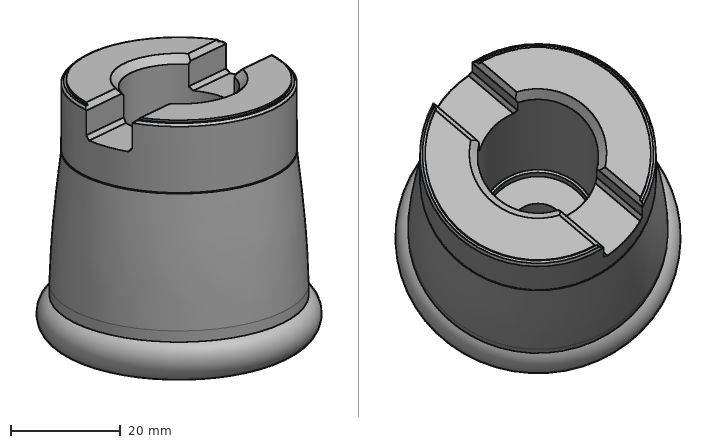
import cadquery as cq

total_height = 50.0
bead_height = 7.8
skirt_top = 10.05
seam_height = 36.0

outer_diameter = 52.0
skirt_diameter = 47.3
flank_bulge = 0.3
bead_radius = 4.0
bead_center_radius = outer_diameter / 2 - bead_radius
through_hole_diameter = 10.5
recess_diameter = 20.9
recess_floor = bead_height
bore_floor = skirt_top

collar_diameter = 43.0
bore_diameter = 22.0
spigot_diameter = 31.2
bore_chamfer = 1.5
rim_chamfer = 0.45
raised_face_diameter = 41.1
raised_face_height = 0.4
seam_chamfer = 0.2

slot_width = 10.5
slot_depth = 6.6
slot_edge_chamfer = 1.0
slot_root_chamfer = 0.8


def cylinder(diameter, bottom, top):
    """Cylinder on the Z axis between two heights."""
    return cq.Workplane("XY").workplane(offset=bottom).circle(diameter / 2).extrude(top - bottom)


def make_sleeve():
    """Flared sleeve with a rounded bead at its base and a stepped socket for the collar."""
    skirt_radius = skirt_diameter / 2
    collar_radius = collar_diameter / 2
    flank_middle = ((skirt_radius + collar_radius) / 2 + flank_bulge, (skirt_top + seam_height) / 2)
    body = (
        cq.Workplane("XZ")
        .lineTo(bead_center_radius, 0)
        .threePointArc((outer_diameter / 2, bead_radius), (skirt_radius, bead_height))
        .lineTo(skirt_radius, skirt_top)
        .threePointArc(flank_middle, (collar_radius, seam_height))
        .lineTo(0, seam_height)
        .close()
        .revolve(360, (0, 0, 0), (0, 1, 0))
    )
    socket = cylinder(spigot_diameter, bore_floor, seam_height)
    recess = cylinder(recess_diameter, recess_floor, seam_height)
    through_hole = cylinder(through_hole_diameter, 0, seam_height)
    return body.cut(socket).cut(recess).cut(through_hole)


def make_slot_cutter():
    """Slot profile with bevelled root corners and bevelled top edges."""
    half_width = slot_width / 2
    floor = total_height - slot_depth
    half_profile = [
        (half_width - slot_root_chamfer, floor),
        (half_width, floor + slot_root_chamfer),
        (half_width, total_height - slot_edge_chamfer),
        (half_width + slot_edge_chamfer, total_height),
    ]
    mirrored_profile = [(-x, z) for x, z in reversed(half_profile)]
    return (
        cq.Workplane("XZ")
        .polyline(half_profile + mirrored_profile)
        .close()
        .extrude(outer_diameter / 2, both=True)
    )


def make_collar():
    """Slotted collar with a raised top face, a countersunk bore and a spigot below."""
    shoulder = total_height - raised_face_height
    rim = cylinder(collar_diameter, seam_height, shoulder)
    rim = rim.faces(">Z").edges().chamfer(rim_chamfer)
    rim = rim.faces("<Z").edges().chamfer(seam_chamfer)
    raised_face = cylinder(raised_face_diameter, seam_height, total_height)
    bore = cylinder(bore_diameter, bore_floor, total_height)
    spigot = cylinder(spigot_diameter, bore_floor, seam_height)
    collar = rim.union(raised_face).union(spigot).cut(bore)
    bore_edge = cq.selectors.RadiusNthSelector(0)
    collar = collar.faces(">Z").edges(bore_edge).chamfer(bore_chamfer)
    return collar.cut(make_slot_cutter())


sleeve = make_sleeve()
collar = make_collar()
result = cq.Compound.makeCompound([sleeve.val(), collar.val()])